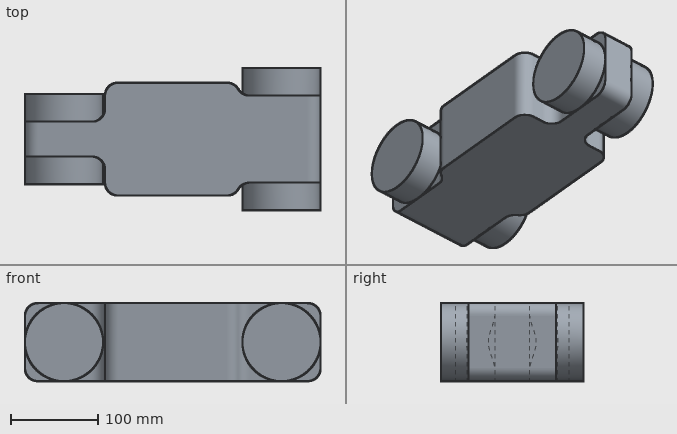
import cadquery as cq
import math

length = 340.0
height = 90.0
wheel_diameter = 90.0
wheel_width = 32.0
corner_radius = 15.0

neck_width = 40.0
main_width = 130.0
tail_width = 100.0
shoulder_from_front = 92.0
tail_bend_from_front = 245.4

front_x = -length / 2
rear_x = length / 2
shoulder_x = front_x + shoulder_from_front
tail_bend_x = front_x + tail_bend_from_front
neck_y = neck_width / 2
main_y = main_width / 2
tail_y = tail_width / 2

tail_step = main_y - tail_y
bend_angle = math.acos(1 - tail_step / (2 * corner_radius))
bend_half_length = corner_radius * math.sin(bend_angle)
arc_middle_x = corner_radius * math.sin(bend_angle / 2)
arc_middle_y = corner_radius * (1 - math.cos(bend_angle / 2))


def make_body():
    """Solid block with a neck, a wide main section and a tail, rounded at both ends."""
    along = corner_radius * math.sin(math.pi / 4)
    across = corner_radius * (1 - math.cos(math.pi / 4))
    bend_start_x = tail_bend_x - bend_half_length
    bend_end_x = tail_bend_x + bend_half_length
    half = (
        cq.Workplane("XY")
        .workplane(offset=-height / 2)
        .moveTo(front_x, 0)
        .lineTo(front_x, neck_y)
        .lineTo(shoulder_x - corner_radius, neck_y)
        .threePointArc(
            (shoulder_x - corner_radius + along, neck_y + across),
            (shoulder_x, neck_y + corner_radius),
        )
        .lineTo(shoulder_x, main_y - corner_radius)
        .threePointArc(
            (shoulder_x + corner_radius - along, main_y - across),
            (shoulder_x + corner_radius, main_y),
        )
        .lineTo(bend_start_x, main_y)
        .threePointArc(
            (bend_start_x + arc_middle_x, main_y - arc_middle_y),
            (tail_bend_x, main_y - tail_step / 2),
        )
        .threePointArc(
            (bend_end_x - arc_middle_x, tail_y + arc_middle_y),
            (bend_end_x, tail_y),
        )
        .lineTo(rear_x, tail_y)
        .lineTo(rear_x, 0)
        .close()
        .extrude(height)
    )
    body = half.union(half.mirror("XZ"))
    return body.faces("<X or >X").edges("|Y").fillet(corner_radius)


def make_wheel_pair(axle_x, side_y):
    """Two plain discs standing outward from the body sides at +/- side_y."""
    wheel = (
        cq.Workplane("XZ", origin=(axle_x, side_y + wheel_width, 0))
        .circle(wheel_diameter / 2)
        .extrude(wheel_width)
    )
    return wheel.union(wheel.mirror("XZ"))


front_wheels = make_wheel_pair(front_x + wheel_diameter / 2, neck_y)
rear_wheels = make_wheel_pair(rear_x - wheel_diameter / 2, tail_y)

result = make_body().union(front_wheels).union(rear_wheels)